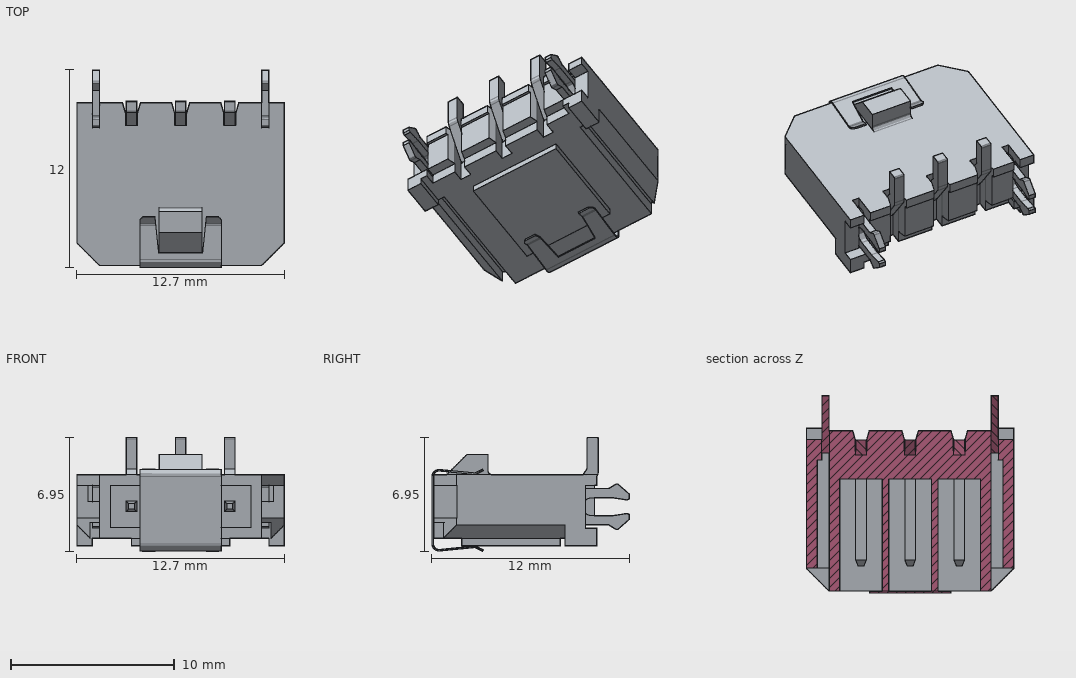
import cadquery as cq
import math


HOUSING_WIDTH = 12.65
HOUSING_DEPTH = 9.93
HOUSING_HEIGHT = 3.88
HALF_WIDTH = HOUSING_WIDTH / 2
FRONT_Y = -HOUSING_DEPTH
MID_HEIGHT = HOUSING_HEIGHT / 2
CORNER_CHAMFER = 1.38
INNER_SIDE_X = HALF_WIDTH - CORNER_CHAMFER
WALL = 0.66
ROOF_UNDERSIDE = HOUSING_HEIGHT - WALL

FOOT_WIDTH = 0.95
FOOT_LENGTH = 1.95
FOOT_DROP = 0.47
FOOT_TOP = 0.62
STANDOFF_WIDTH = 6.02
STANDOFF_BACK_Y = -2.23
STANDOFF_FRONT_Y = -8.25
SIDE_BEVEL = 0.81

PITCH = 3.0
PIN_POSITIONS = (-PITCH, 0, PITCH)
CAVITY_WIDTH = 2 * (INNER_SIDE_X - WALL - PITCH)
CAVITY_DEPTH = 6.83

SIDE_WINDOW_DEPTH = 0.68
BACK_WALL_RECESS = 0.14
BACK_WALL_BOTTOM = 0.81
PIN_SLOT_WIDTH = 0.71
PIN_SLOT_MOUTH = 1.09
PIN_SLOT_TAPER_LENGTH = 0.66
PIN_SLOT_DEPTH = 1.38

POCKET_BACK_Y = -8.53
POCKET_BOTTOM = 1.23
UPPER_PASSAGE_WIDTH = 0.71
UPPER_PASSAGE_BOTTOM = 2.23
LOWER_PASSAGE_WIDTH = 0.57
LOWER_PASSAGE_TOP = 0.95

LATCH_WIDTH = 2.63
LATCH_HEIGHT = 1.23
LATCH_BACK_Y = -6.63
LATCH_RAMP_START_Y = -7.92
LATCH_ROOT_RADIUS = 0.24
LATCH_TOE_Y = LATCH_RAMP_START_Y - LATCH_HEIGHT

PIN_WIDTH = 0.65
LEG_BACK_Y = 0.1
LEG_FRONT_Y = -0.61
LEG_TOP = 6.15
LEG_TIP_RADIUS = 0.09
HEEL_ANGLE = 57.0
HEEL_INNER_TOP = 4.24
HEEL_OUTER_TOP = 3.91
HEEL_OUTER_RADIUS = 1.3 / 2
TAIL_BOTTOM = MID_HEIGHT - PIN_WIDTH / 2
TAIL_TOP = MID_HEIGHT + PIN_WIDTH / 2
TAIL_TIP_SIZE = 0.34
TAIL_TIP_LENGTH = 0.38
TAIL_TIP_SETBACK = 1.52

CLIP_THICKNESS = 0.43
CLIP_X = INNER_SIDE_X + CLIP_THICKNESS / 2
CLIP_MID_Z = 1.92
CLIP_BASE_Y = -1.52
CLIP_HALF_HEIGHT = 1.11
CLIP_BARB_HALF_HEIGHT = 1.3
CLIP_BARB_CREST_Y = -0.95
CLIP_BARB_ROOT_Y = -0.81
CLIP_BARB_CHAMFER = 0.1
CLIP_BARB_RADIUS = 0.18
CLIP_GAP = 1.09
CLIP_GAP_END_Y = -0.85
CLIP_TIP_Y = 1.99
CLIP_TIP_OUTER_HALF = 0.77
CLIP_TIP_INNER_HALF = 0.47
CLIP_LIP_Y = 1.85
CLIP_LIP_HALF = 0.4
CLIP_GAP_TAPER_Y = 0.95
CLIP_SHOULDER_Y = 0.73
CLIP_HOOK_Y = 1.24
CLIP_HOOK_HALF_HEIGHT = 1.43
CLIP_HOOK_RADIUS = 0.13

CAP_WIDTH = 4.98
CAP_THICKNESS = 0.1
CAP_FRONT_GAP = 0.03
CAP_FRONT_Y = FRONT_Y - CAP_FRONT_GAP - CAP_THICKNESS
CAP_MID_Z = (HOUSING_HEIGHT - FOOT_DROP) / 2
CAP_CONTACT_HALF = (HOUSING_HEIGHT + FOOT_DROP) / 2
CAP_CONTACT_Y = -7.41
CAP_ARM_ANGLE = 5.6
CAP_BEND_RADIUS = 0.44
CAP_TIP_ANGLE = 26.0
CAP_TIP_LENGTH = 0.55
CAP_TIP_CHAMFER = 0.22
CAP_CONTACT_RADIUS = 0.16
CAP_NOTCH_CLEARANCE = 0.03
CAP_NOTCH_END_Y = LATCH_TOE_Y - CAP_NOTCH_CLEARANCE
CAP_NOTCH_END_WIDTH = LATCH_WIDTH + 2 * CAP_NOTCH_CLEARANCE
CAP_NOTCH_OPEN_WIDTH = 3.16
CAP_NOTCH_OPEN_Y = -6.83


def block(x0, x1, y0, y1, z0, z1):
    """Axis-aligned box between two corners."""
    return cq.Workplane("XY").box(x1 - x0, y1 - y0, z1 - z0, centered=False).translate((x0, y0, z0))


def on_both_sides(shape):
    """The shape together with its mirror image across X = 0."""
    return shape.union(shape.mirror("YZ"))


def extrude_across(profile, width):
    """Extrude a YZ profile by the given width, half to each side of X = 0."""
    return profile.extrude(width / 2, both=True)


def fillet_along_x(shape, y, z, radius):
    """Round the edge parallel to X that passes through (y, z)."""
    reach = 0.006
    edge_box = cq.selectors.BoxSelector(
        (-HOUSING_WIDTH, y - reach, z - reach), (HOUSING_WIDTH, y + reach, z + reach)
    )
    return shape.edges("|X").edges(edge_box).fillet(radius)


def housing_body():
    body = block(-HALF_WIDTH, HALF_WIDTH, FRONT_Y, 0, 0, HOUSING_HEIGHT)
    body = body.edges("|Z and <Y").chamfer(CORNER_CHAMFER)
    bevel = (
        cq.Workplane("XZ", origin=(0, -FOOT_LENGTH, 0))
        .polyline([(-HALF_WIDTH, 0), (-HALF_WIDTH + SIDE_BEVEL, 0), (-HALF_WIDTH, SIDE_BEVEL)])
        .close()
        .extrude(HOUSING_DEPTH - FOOT_LENGTH)
    )
    return body.cut(on_both_sides(bevel))


def feet_and_standoff():
    foot = block(-HALF_WIDTH, -HALF_WIDTH + FOOT_WIDTH, -FOOT_LENGTH, 0, -FOOT_DROP, FOOT_TOP)
    half_standoff = STANDOFF_WIDTH / 2
    standoff = block(-half_standoff, half_standoff, STANDOFF_FRONT_Y, STANDOFF_BACK_Y, -FOOT_DROP, WALL)
    return on_both_sides(foot).union(standoff)


def latch():
    top = HOUSING_HEIGHT + LATCH_HEIGHT
    root_top = HOUSING_HEIGHT + LATCH_ROOT_RADIUS
    root_back_y = LATCH_BACK_Y + LATCH_ROOT_RADIUS
    sag = LATCH_ROOT_RADIUS * (1 - math.sqrt(0.5))
    profile = (
        cq.Workplane("YZ")
        .moveTo(LATCH_TOE_Y, HOUSING_HEIGHT)
        .lineTo(LATCH_RAMP_START_Y, top)
        .lineTo(LATCH_BACK_Y, top)
        .lineTo(LATCH_BACK_Y, root_top)
        .threePointArc((LATCH_BACK_Y + sag, HOUSING_HEIGHT + sag), (root_back_y, HOUSING_HEIGHT))
        .close()
    )
    return extrude_across(profile, LATCH_WIDTH)


def contact_cavity(x):
    half = CAVITY_WIDTH / 2
    return block(x - half, x + half, FRONT_Y, FRONT_Y + CAVITY_DEPTH, WALL, ROOF_UNDERSIDE)


def pin_slot(x):
    """Slot in the back face, flared at its mouth, that lets the upright leg in."""
    half_mouth = PIN_SLOT_MOUTH / 2
    half = PIN_SLOT_WIDTH / 2
    return (
        cq.Workplane("XY")
        .polyline([
            (x - half_mouth, 0),
            (x - half, -PIN_SLOT_TAPER_LENGTH),
            (x - half, -PIN_SLOT_DEPTH),
            (x + half, -PIN_SLOT_DEPTH),
            (x + half, -PIN_SLOT_TAPER_LENGTH),
            (x + half_mouth, 0),
        ])
        .close()
        .extrude(HOUSING_HEIGHT)
    )


def back_recesses():
    """Side windows beside the clips, and the shallow recess and undercut between them."""
    window = block(-HALF_WIDTH, -INNER_SIDE_X, -SIDE_WINDOW_DEPTH, 0, FOOT_TOP, ROOF_UNDERSIDE)
    recess = block(-INNER_SIDE_X, INNER_SIDE_X, -BACK_WALL_RECESS, 0, BACK_WALL_BOTTOM, ROOF_UNDERSIDE)
    undercut = block(-INNER_SIDE_X, INNER_SIDE_X, -SIDE_WINDOW_DEPTH, 0, 0, BACK_WALL_BOTTOM)
    return on_both_sides(window).union(recess).union(undercut)


def clip_slot():
    """Slot for a board clip, open at the back and through the roof."""
    outer_x = -INNER_SIDE_X - CLIP_THICKNESS
    bottom = CLIP_MID_Z - CLIP_BARB_HALF_HEIGHT
    return on_both_sides(block(outer_x, -INNER_SIDE_X, CLIP_BASE_Y, 0, bottom, HOUSING_HEIGHT))


def corner_passages():
    """Pocket in each chamfered corner and the two passages that run back to the clip slot."""
    x = -INNER_SIDE_X
    clip_outer_x = x - CLIP_THICKNESS
    pocket = block(-HALF_WIDTH, x, FRONT_Y, POCKET_BACK_Y, POCKET_BOTTOM, ROOF_UNDERSIDE)
    upper_x = x - UPPER_PASSAGE_WIDTH
    upper = block(upper_x, x, POCKET_BACK_Y, -FOOT_LENGTH, UPPER_PASSAGE_BOTTOM, ROOF_UNDERSIDE)
    upper_end = block(clip_outer_x, x, -FOOT_LENGTH, CLIP_BASE_Y, UPPER_PASSAGE_BOTTOM, ROOF_UNDERSIDE)
    lower = block(x - LOWER_PASSAGE_WIDTH, x, FRONT_Y, -FOOT_LENGTH, 0, LOWER_PASSAGE_TOP)
    lower_end = block(clip_outer_x, x, -FOOT_LENGTH, CLIP_BASE_Y, FOOT_TOP, LOWER_PASSAGE_TOP)
    return on_both_sides(pocket.union(upper).union(upper_end).union(lower).union(lower_end))


def make_housing(pins):
    body = housing_body().union(feet_and_standoff()).union(latch())
    body = body.cut(back_recesses()).cut(clip_slot()).cut(corner_passages())
    for x in PIN_POSITIONS:
        body = body.cut(contact_cavity(x)).cut(pin_slot(x))
    for pin in pins:
        body = body.cut(pin)
    return body


def make_pin(x):
    """Pin with an upright leg, a diagonal heel and a straight tail with a tapered tip."""
    slope = math.tan(math.radians(HEEL_ANGLE))
    inner_bend_y = LEG_FRONT_Y - (HEEL_INNER_TOP - TAIL_TOP) / slope
    outer_bend_y = LEG_BACK_Y - (HEEL_OUTER_TOP - TAIL_BOTTOM) / slope
    tip_y = FRONT_Y + TAIL_TIP_SETBACK
    taper_y = tip_y + TAIL_TIP_LENGTH
    profile = (
        cq.Workplane("YZ")
        .polyline([
            (LEG_BACK_Y, LEG_TOP),
            (LEG_FRONT_Y, LEG_TOP),
            (LEG_FRONT_Y, HEEL_INNER_TOP),
            (inner_bend_y, TAIL_TOP),
            (taper_y, TAIL_TOP),
            (taper_y, TAIL_BOTTOM),
            (outer_bend_y, TAIL_BOTTOM),
            (LEG_BACK_Y, HEEL_OUTER_TOP),
        ])
        .close()
    )
    pin = extrude_across(profile, PIN_WIDTH)
    pin = fillet_along_x(pin, LEG_BACK_Y, HEEL_OUTER_TOP, HEEL_OUTER_RADIUS)
    pin = pin.faces(">Z").edges("|X").fillet(LEG_TIP_RADIUS)
    tip = (
        cq.Workplane("XZ", origin=(0, taper_y, MID_HEIGHT))
        .rect(PIN_WIDTH, PIN_WIDTH)
        .workplane(offset=TAIL_TIP_LENGTH)
        .rect(TAIL_TIP_SIZE, TAIL_TIP_SIZE)
        .loft()
    )
    return pin.union(tip).translate((x, 0, 0))


def make_clip(x):
    """Flat forked clip: barbed base in the housing and two hooked prongs behind it."""
    half_gap = CLIP_GAP / 2
    upper_edge = [
        (CLIP_BASE_Y, CLIP_BARB_HALF_HEIGHT - CLIP_BARB_CHAMFER),
        (CLIP_BASE_Y + CLIP_BARB_CHAMFER, CLIP_BARB_HALF_HEIGHT),
        (CLIP_BARB_CREST_Y, CLIP_BARB_HALF_HEIGHT),
        (CLIP_BARB_ROOT_Y, CLIP_HALF_HEIGHT),
        (CLIP_SHOULDER_Y, CLIP_HALF_HEIGHT),
        (CLIP_HOOK_Y, CLIP_HOOK_HALF_HEIGHT),
        (CLIP_TIP_Y, CLIP_TIP_OUTER_HALF),
        (CLIP_TIP_Y, CLIP_TIP_INNER_HALF),
        (CLIP_LIP_Y, CLIP_LIP_HALF),
        (CLIP_GAP_TAPER_Y, half_gap),
    ]
    round_start_y = CLIP_GAP_END_Y + half_gap
    lower_edge = [(y, -z) for y, z in reversed(upper_edge)]
    profile = (
        cq.Workplane("YZ")
        .polyline(upper_edge + [(round_start_y, half_gap)])
        .threePointArc((CLIP_GAP_END_Y, 0), (round_start_y, -half_gap))
    )
    for point in lower_edge:
        profile = profile.lineTo(*point)
    clip = extrude_across(profile.close(), CLIP_THICKNESS)
    for side in (-1, 1):
        clip = fillet_along_x(clip, CLIP_HOOK_Y, side * CLIP_HOOK_HALF_HEIGHT, CLIP_HOOK_RADIUS)
        clip = fillet_along_x(clip, CLIP_BARB_CREST_Y, side * CLIP_BARB_HALF_HEIGHT, CLIP_BARB_RADIUS)
    return clip.translate((x, 0, CLIP_MID_Z))


def make_cap():
    """C-shaped sheet across the housing front whose two arms pinch the roof and the standoff."""
    arm = math.tan(math.radians(CAP_ARM_ANGLE))
    tip = math.radians(CAP_TIP_ANGLE)
    inner_front_y = CAP_FRONT_Y + CAP_THICKNESS
    contact = (CAP_CONTACT_Y, CAP_CONTACT_HALF)
    inner_tip = (contact[0] + CAP_TIP_LENGTH * math.cos(tip), contact[1] + CAP_TIP_LENGTH * math.sin(tip))
    outer_tip = (inner_tip[0] - CAP_THICKNESS * math.sin(tip), inner_tip[1] + CAP_THICKNESS * math.cos(tip))
    bend_shift = CAP_THICKNESS * math.tan((tip - math.radians(CAP_ARM_ANGLE)) / 2)
    outer_contact = (contact[0] - bend_shift, contact[1] + CAP_THICKNESS)
    inner_corner = (inner_front_y, contact[1] + (contact[0] - inner_front_y) * arm)
    outer_corner = (CAP_FRONT_Y, outer_contact[1] + (outer_contact[0] - CAP_FRONT_Y) * arm)

    upper = [outer_corner, outer_contact, outer_tip, inner_tip, contact, inner_corner]
    lower = [(y, -z) for y, z in reversed(upper)]
    cap = extrude_across(cq.Workplane("YZ").polyline(upper + lower).close(), CAP_WIDTH)
    bends = [
        (outer_corner, CAP_BEND_RADIUS),
        (inner_corner, CAP_BEND_RADIUS - CAP_THICKNESS),
        (outer_contact, CAP_CONTACT_RADIUS),
        (contact, CAP_CONTACT_RADIUS + CAP_THICKNESS),
    ]
    for (y, z), radius in bends:
        for side in (-1, 1):
            cap = fillet_along_x(cap, y, side * z, radius)
    return cap.cut(cap_trim(inner_tip[0])).translate((0, 0, CAP_MID_Z))


def cap_trim(tip_y):
    """Cuts that clear the latch and chamfer the outer corners of the arm tips."""
    half_end = CAP_NOTCH_END_WIDTH / 2
    half_open = CAP_NOTCH_OPEN_WIDTH / 2
    half_cap = CAP_WIDTH / 2
    cut_plane = cq.Workplane("XY", origin=(0, 0, -HOUSING_HEIGHT))
    notch = (
        cut_plane
        .polyline([
            (-half_end, CAP_NOTCH_END_Y),
            (half_end, CAP_NOTCH_END_Y),
            (half_open, CAP_NOTCH_OPEN_Y),
            (-half_open, CAP_NOTCH_OPEN_Y),
        ])
        .close()
        .extrude(2 * HOUSING_HEIGHT)
    )
    corner = (
        cut_plane
        .polyline([
            (-half_cap, tip_y - CAP_TIP_CHAMFER),
            (-half_cap, tip_y),
            (-half_cap + CAP_TIP_CHAMFER, tip_y),
        ])
        .close()
        .extrude(2 * HOUSING_HEIGHT)
    )
    return notch.union(on_both_sides(corner))


pins = [make_pin(x) for x in PIN_POSITIONS]
clips = [make_clip(x) for x in (-CLIP_X, CLIP_X)]
cap = make_cap()
housing = make_housing(pins)

result = cq.Compound.makeCompound([
    housing.solids().val(),
    *[pin.solids().val() for pin in pins],
    *[clip.solids().val() for clip in clips],
    cap.solids().val(),
])